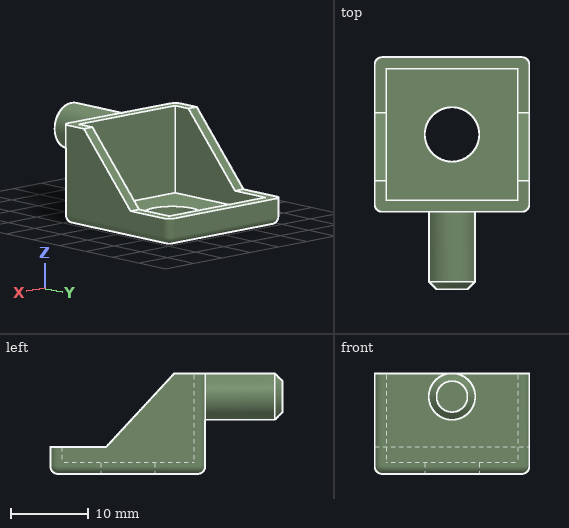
import cadquery as cq

body_size = 20.0
body_height = 13.0
rim_height = 3.5
wall = 1.5
floor = 1.5
edge_radius = 1.0

wall_top_length = 4.0
ramp_length = 8.8

peg_diameter = 6.0
peg_length = 10.0
peg_chamfer = 1.0
hole_diameter = 7.0

front_y = -body_size / 2
back_y = body_size / 2
ramp_top_y = front_y + wall_top_length
ramp_bottom_y = ramp_top_y + ramp_length
peg_axis_z = body_height - peg_diameter / 2


def make_body():
    """Square block with rounded uprights and bottom edge, its top cut to the ramp profile."""
    block = cq.Workplane("XY").box(body_size, body_size, body_height, centered=(True, True, False))
    block = block.edges("|Z").fillet(edge_radius)
    block = block.faces("<Z").edges().fillet(edge_radius)
    side_profile = (
        cq.Workplane("YZ")
        .moveTo(front_y, 0)
        .lineTo(back_y, 0)
        .lineTo(back_y, rim_height)
        .lineTo(ramp_bottom_y, rim_height)
        .lineTo(ramp_top_y, body_height)
        .lineTo(front_y, body_height)
        .close()
        .extrude(body_size / 2, both=True)
    )
    return block.intersect(side_profile)


def make_pocket():
    """Square cavity that leaves the floor and the surrounding walls."""
    pocket_size = body_size - 2 * wall
    pocket_depth = body_height - floor
    return (
        cq.Workplane("XY", origin=(0, 0, floor))
        .box(pocket_size, pocket_size, pocket_depth, centered=(True, True, False))
    )


def make_screw_hole():
    """Round hole through the middle of the floor."""
    return cq.Workplane("XY").circle(hole_diameter / 2).extrude(body_height)


def make_peg():
    """Round peg standing out of the front wall, flush with its top, with a chamfered tip."""
    return (
        cq.Workplane("XZ", origin=(0, front_y, peg_axis_z))
        .circle(peg_diameter / 2)
        .extrude(peg_length)
        .faces("<Y")
        .chamfer(peg_chamfer)
    )


shell = make_body().cut(make_pocket()).cut(make_screw_hole())
result = shell.union(make_peg())